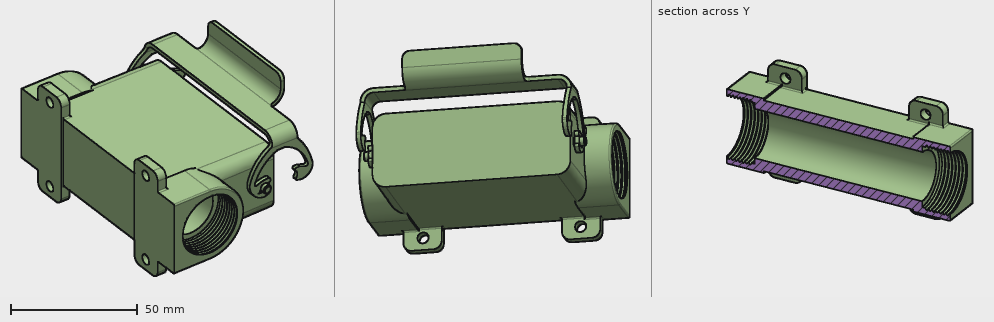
import cadquery as cq
import math


body_back = 1.0
body_front = 56.8
body_half_width = 40.8
body_half_height = 15.9
body_corner_radius = 6.0
body_draft = 0.73

entry_end = 51.0
entry_inner_end = 34.0
entry_radius = 16.5
entry_axis_y = 17.5
entry_edge_fillet = 0.6
bore_radius = 10.8
thread_minor_radius = 13.4
thread_major_radius = 14.3
thread_pitch = 1.59
thread_depth = 12.8
thread_turns = 7
thread_runout = 1.2
thread_half_opening = 0.7

pad_inner = 24.4
pad_outer = 39.9
pad_half_height = 25.0
pad_thickness = 4.2
pad_corner_radius = 3.3
pad_foot_fillet = 0.6
screw_hole_radius = 2.2
screw_hole_x = 31.9
screw_hole_z = 20.0

pin_y = 50.4
pin_end = 44.9
pin_root = 38.8
pin_radius = 1.8
pin_chamfer = 0.4

sheet = 1.8
lever_half_width = 42.7
lever_top = 23.0
lever_bottom = -6.1
bend_radius = 5.4
bend_end = lever_top - bend_radius
strap_rear = 54.3
strap_front = 66.5
hook_front = 74.0
arch_top = 15.3
seat_radius = 2.0
mouth_half_height = 1.5

tab_half_width = 24.2
tab_top = 35.0
tab_inner_radius = 5.3
tab_corner_radius = 3.2
tab_root_fillet = 1.4


def make_body():
    length = body_front - body_back
    body = (
        cq.Workplane("XZ", origin=(0, body_back, 0))
        .sketch()
        .rect(2 * body_half_width, 2 * body_half_height)
        .vertices()
        .fillet(body_corner_radius)
        .finalize()
        .extrude(-length, taper=body_draft)
    )
    return body


def make_entry():
    """Boss on the +X end before boring: flat-sided and rounded towards the front."""
    return (
        cq.Workplane("YZ", origin=(entry_inner_end, 0, 0))
        .moveTo(0, -entry_radius)
        .lineTo(entry_axis_y, -entry_radius)
        .threePointArc((entry_axis_y + entry_radius, 0), (entry_axis_y, entry_radius))
        .lineTo(0, entry_radius)
        .close()
        .extrude(entry_end - entry_inner_end)
        .faces(">X")
        .edges("not <Y")
        .fillet(entry_edge_fillet)
    )


def make_pad():
    """Mounting pad on the +X side, without its screw holes."""
    return (
        cq.Workplane("XZ")
        .center((pad_inner + pad_outer) / 2, 0)
        .rect(pad_outer - pad_inner, 2 * pad_half_height)
        .extrude(-pad_thickness)
        .edges("|Y")
        .fillet(pad_corner_radius)
    )


def make_threaded_bore():
    """Bore of the +X entry with its ring-shaped V thread grooves."""
    inner_end = entry_end - thread_depth
    profile = cq.Workplane("XY").moveTo(inner_end, 0).lineTo(inner_end, thread_minor_radius)
    for turn in range(thread_turns):
        groove_start = inner_end + thread_runout + turn * thread_pitch
        profile = (
            profile.lineTo(groove_start, thread_minor_radius)
            .lineTo(groove_start + thread_half_opening, thread_major_radius)
            .lineTo(groove_start + 2 * thread_half_opening, thread_minor_radius)
        )
    return (
        profile.lineTo(entry_end, thread_minor_radius)
        .lineTo(entry_end, 0)
        .close()
        .revolve(360, (0, 0, 0), (1, 0, 0))
        .translate((0, entry_axis_y, 0))
    )


def make_pin():
    return (
        cq.Workplane("YZ", origin=(pin_root, pin_y, 0))
        .circle(pin_radius)
        .extrude(pin_end - pin_root)
        .faces(">X")
        .chamfer(pin_chamfer)
    )


def both_ends(feature):
    """The feature and its mirror image on the -X end."""
    return [feature, feature.mirror("YZ")]


def fillet_pad_feet(housing):
    """Rounds the inside corners where the pads meet the walls of the body and the entries."""
    margin = 0.2
    walls = []
    for x_sign in (-1, 1):
        for z_sign in (-1, 1):
            near = (x_sign * (pad_inner - margin), -margin, z_sign * (body_half_height - margin))
            far = (
                x_sign * (pad_outer + margin),
                pad_thickness + margin,
                z_sign * (entry_radius + margin),
            )
            walls += housing.edges(cq.selectors.BoxSelector(near, far)).vals()
    return housing.newObject(walls).fillet(pad_foot_fillet)


def make_housing():
    housing = make_body()
    for part in both_ends(make_entry()) + both_ends(make_pad()):
        housing = housing.union(part)
    housing = fillet_pad_feet(housing)
    for pin in both_ends(make_pin()):
        housing = housing.union(pin)
    screw_holes = (
        cq.Workplane("XZ")
        .rect(2 * screw_hole_x, 2 * screw_hole_z, forConstruction=True)
        .vertices()
        .circle(screw_hole_radius)
        .extrude(-pad_thickness)
    )
    cable_bore = (
        cq.Workplane("YZ", origin=(-entry_end, entry_axis_y, 0))
        .circle(bore_radius)
        .extrude(2 * entry_end)
    )
    housing = housing.cut(screw_holes).cut(cable_bore)
    for bore in both_ends(make_threaded_bore()):
        housing = housing.cut(bore)
    return housing


def make_rounded_block(half_width, top, radius):
    """Block from below the hooks up to the given top, with rounded upper edges along Y."""
    return (
        cq.Workplane("XY", origin=(0, hook_front / 2, lever_bottom))
        .rect(2 * half_width, hook_front)
        .extrude(top - lever_bottom)
        .edges("|Y and >Z")
        .fillet(radius)
    )


def make_bent_strip():
    """U-shaped sheet strip, wider along Y than the finished lever."""
    outer = make_rounded_block(lever_half_width, lever_top, bend_radius)
    inner = make_rounded_block(lever_half_width - sheet, lever_top - sheet, bend_radius - sheet)
    return outer.cut(inner)


def make_lever_outline():
    """Side outline of the strap, its two arms and their hooks, across the full width."""
    return (
        cq.Workplane("YZ", origin=(-lever_half_width, 0, 0))
        .moveTo(strap_front, lever_top)
        .lineTo(strap_rear, lever_top)
        .lineTo(strap_rear, bend_end + 1.8)
        .threePointArc((54.0, 18.3), (53.0, bend_end - 0.2))
        .threePointArc((46.5, 11.3), (43.0, 3.7))
        .threePointArc((44.8, -1.5), (49.4, -4.3))
        .threePointArc((51.6, -4.0), (53.0, -3.0))
        .threePointArc((53.2, -2.2), (52.5, -mouth_half_height))
        .lineTo(52.5, mouth_half_height)
        .threePointArc((53.2, 2.7), (51.6, 3.8))
        .threePointArc((49.3, 3.5), (46.4, 2.4))
        .threePointArc((45.7, 2.7), (45.6, 3.5))
        .threePointArc((49.0, 9.7), (56.8, arch_top))
        .lineTo(60.4, arch_top)
        .threePointArc((67.5, 10.5), (71.5, 3.4))
        .threePointArc((71.3, 2.3), (70.4, 2.2))
        .lineTo(67.5, 3.3)
        .lineTo(65.9, 3.3)
        .threePointArc((65.3, 2.7), (65.6, 1.8))
        .threePointArc((66.4, 0.3), (65.9, -1.4))
        .threePointArc((65.7, -2.2), (66.5, -2.9))
        .threePointArc((71.6, -2.2), (hook_front, 2.7))
        .threePointArc((71.7, 9.2), (strap_front, bend_end - 0.2))
        .close()
        .extrude(2 * lever_half_width)
    )


def make_pin_seat():
    """Round seat for the pin with a small notch behind it."""
    width = 2 * lever_half_width
    plane = cq.Workplane("YZ", origin=(-lever_half_width, 0, 0))
    seat = plane.center(pin_y, 0).circle(seat_radius).extrude(width)
    notch = (
        cq.Workplane("YZ", origin=(-lever_half_width, 0, 0))
        .polyline([(pin_y, 0), (48.1, -0.9), (47.4, -1.8), (pin_y, -1.8)])
        .close()
        .extrude(width)
    )
    return seat.union(notch)


def make_tab():
    """Handle tab that curves up from the front edge of the strap."""
    bend_center_z = lever_top + tab_inner_radius
    tab_outer_radius = tab_inner_radius + sheet
    s = math.sqrt(0.5)
    back = strap_front + tab_inner_radius
    root_half_width = tab_half_width + tab_root_fillet
    profile = (
        cq.Workplane("YZ", origin=(-root_half_width, 0, 0))
        .moveTo(strap_front, lever_top)
        .threePointArc(
            (strap_front + s * tab_inner_radius, bend_center_z - s * tab_inner_radius),
            (back, bend_center_z),
        )
        .lineTo(back, tab_top)
        .lineTo(back + sheet, tab_top)
        .lineTo(back + sheet, bend_center_z)
        .threePointArc(
            (strap_front + s * tab_outer_radius, bend_center_z - s * tab_outer_radius),
            (strap_front, lever_top - sheet),
        )
        .close()
        .extrude(2 * root_half_width)
    )
    plan = (
        cq.Workplane("XY")
        .moveTo(-root_half_width, strap_front)
        .radiusArc((-tab_half_width, strap_front + tab_root_fillet), -tab_root_fillet)
        .lineTo(-tab_half_width, hook_front)
        .lineTo(tab_half_width, hook_front)
        .lineTo(tab_half_width, strap_front + tab_root_fillet)
        .radiusArc((root_half_width, strap_front), -tab_root_fillet)
        .close()
        .extrude(tab_top)
    )
    return profile.intersect(plan).edges("|Y and >Z").fillet(tab_corner_radius)


def make_lever():
    lever = make_bent_strip().intersect(make_lever_outline())
    return lever.cut(make_pin_seat()).union(make_tab())


housing = make_housing()
lever = make_lever()
result = cq.Compound.makeCompound([housing.val(), lever.val()])